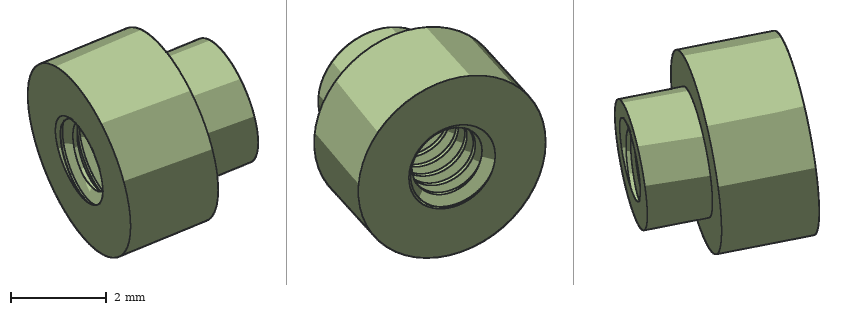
import cadquery as cq
import math

head_diameter = 4.35
shank_diameter = 2.793
head_length = 2.1
total_length = 3.5

major_diameter = 2.0
pitch = 0.4
flank_angle = math.radians(30)
sharp_height = pitch / (2 * math.tan(flank_angle))
thread_depth = 5 / 8 * sharp_height
major_radius = major_diameter / 2
minor_radius = major_radius - thread_depth
root_flat = pitch / 8
groove_start = -9 / 8 * pitch
cutter_overlap = 0.045
lead_in_depth = thread_depth


def stepped_body():
    """Head and shank, with their common axis along Z and the head face at Z = 0."""
    head = cq.Workplane("XY").circle(head_diameter / 2).extrude(head_length)
    shank = cq.Workplane("XY").circle(shank_diameter / 2).extrude(total_length)
    return head.union(shank)


def bore():
    """Through bore with a conical lead-in at the head face."""
    return (
        cq.Workplane("XZ")
        .moveTo(0, 0)
        .lineTo(major_radius, 0)
        .lineTo(minor_radius, lead_in_depth)
        .lineTo(minor_radius, total_length)
        .lineTo(0, total_length)
        .close()
        .revolve(360, (0, 0, 0), (0, 1, 0))
    )


def thread_groove():
    """Right-hand helical groove that runs out past both ends of the bore."""
    turns = math.ceil((total_length - groove_start) / pitch) + 1
    inner_radius = minor_radius - cutter_overlap
    root_half_width = root_flat / 2
    mouth_half_width = root_half_width + (major_radius - inner_radius) * math.tan(flank_angle)
    helix = cq.Wire.makeHelix(pitch, turns * pitch, minor_radius)
    return (
        cq.Workplane("XZ")
        .moveTo(inner_radius, -mouth_half_width)
        .lineTo(major_radius, -root_half_width)
        .lineTo(major_radius, root_half_width)
        .lineTo(inner_radius, mouth_half_width)
        .close()
        .sweep(cq.Workplane(helix), isFrenet=True)
        .translate((0, 0, groove_start))
    )


upright_part = stepped_body().cut(thread_groove()).cut(bore())
result = upright_part.rotate((0, 0, 0), (1, 0, 0), -90)